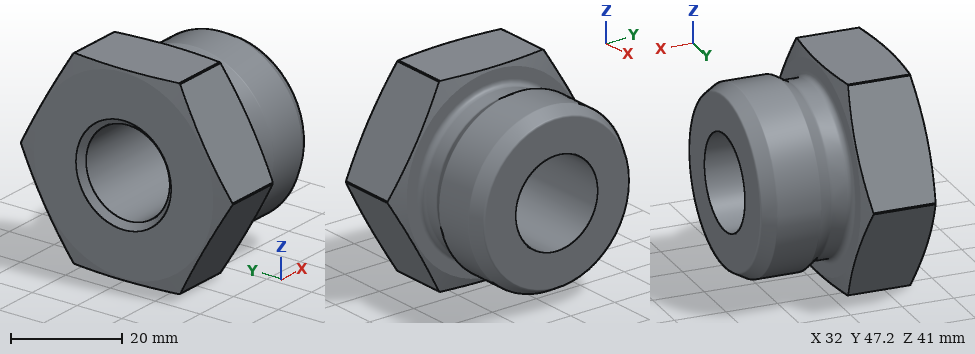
import cadquery as cq
import math

across_flats = 41.0
across_corners = 47.2
head_length = 14.0
head_face_diameter = 40.0
head_chamfer_angle = 15.0

total_length = 32.0
neck_diameter = 32.9
neck_root_radius = 1.15
flare_start = 18.25
flare_end = 20.85
flare_blend_radius = 1.25
land_diameter = 36.0
tip_chamfer_start = 29.3
tip_diameter = 33.05
edge_round_radius = 0.45

bore_diameter = 18.65
bore_mouth_diameter = 21.25
bore_chamfer_angle = 45.0


def revolve_about_x(profile):
    """Turn a closed (x, radius) profile around the X axis."""
    return profile.close().revolve(360, (0, 0, 0), (1, 0, 0))


def make_head():
    """Hexagon with corners along Y, chamfered conically on both faces."""
    sharp_corners = across_flats / math.cos(math.radians(30))
    hexagon = cq.Workplane("YZ").polygon(6, sharp_corners).extrude(head_length)
    face_radius = head_face_diameter / 2
    corner_radius = across_corners / 2
    chamfer_length = (corner_radius - face_radius) * math.tan(math.radians(head_chamfer_angle))
    envelope = revolve_about_x(
        cq.Workplane("XY")
        .lineTo(0, face_radius)
        .lineTo(chamfer_length, corner_radius)
        .lineTo(head_length - chamfer_length, corner_radius)
        .lineTo(head_length, face_radius)
        .lineTo(head_length, 0)
    )
    return hexagon.intersect(envelope)


def make_spigot():
    """Neck with a filleted root, flaring to a land with a chamfered tip, its outer edges rounded."""
    neck_radius = neck_diameter / 2
    land_radius = land_diameter / 2
    flare_angle = math.atan2(land_radius - neck_radius, flare_end - flare_start)
    blend_tangent = flare_blend_radius * math.tan(flare_angle / 2)
    blend_end = (
        flare_start + blend_tangent * math.cos(flare_angle),
        neck_radius + blend_tangent * math.sin(flare_angle),
    )
    spigot = revolve_about_x(
        cq.Workplane("XY")
        .moveTo(head_length, 0)
        .lineTo(head_length, neck_radius + neck_root_radius)
        .radiusArc((head_length + neck_root_radius, neck_radius), -neck_root_radius)
        .lineTo(flare_start - blend_tangent, neck_radius)
        .radiusArc(blend_end, -flare_blend_radius)
        .lineTo(flare_end, land_radius)
        .lineTo(tip_chamfer_start, land_radius)
        .lineTo(total_length, tip_diameter / 2)
        .lineTo(total_length, 0)
    )
    convex_radii = (land_radius, tip_diameter / 2)
    convex_edges = spigot.edges("%CIRCLE").filter(
        lambda edge: any(math.isclose(edge.radius(), radius, abs_tol=0.005) for radius in convex_radii)
    )
    return convex_edges.fillet(edge_round_radius)


def make_bore():
    """Through bore with a countersunk mouth in the head face."""
    bore_radius = bore_diameter / 2
    mouth_radius = bore_mouth_diameter / 2
    mouth_depth = (mouth_radius - bore_radius) / math.tan(math.radians(bore_chamfer_angle))
    return revolve_about_x(
        cq.Workplane("XY")
        .lineTo(0, mouth_radius)
        .lineTo(mouth_depth, bore_radius)
        .lineTo(total_length, bore_radius)
        .lineTo(total_length, 0)
    )


result = make_head().union(make_spigot()).cut(make_bore())